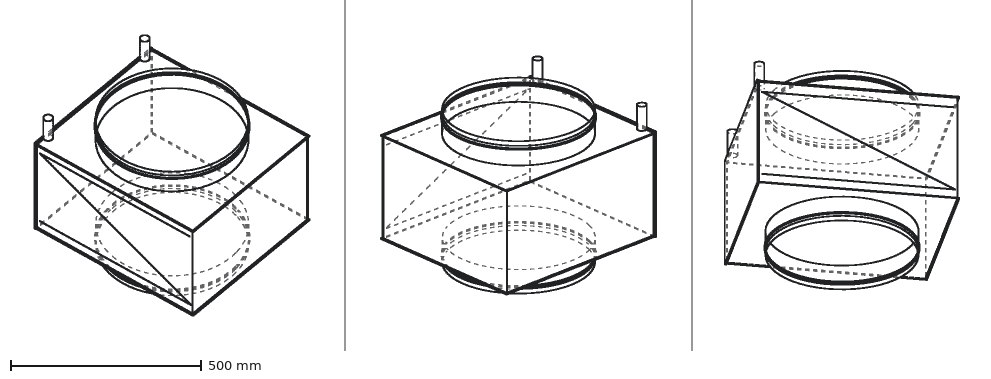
import cadquery as cq
import math

total_length = 540.0
total_width = 483.0
total_height = 440.0
spigot_height = 70.0
box_height = total_height - 2 * spigot_height

sheet = 2.0
cover_thickness = 4.5
cover_lip = 2.0
pipe_proud = 0.1

cover_outer_x = -total_length / 2 + pipe_proud
casing_left_x = cover_outer_x + cover_thickness
plate_right_x = total_length / 2
plate_overhang = 3.0
wall_right_x = plate_right_x - plate_overhang
wall_width = total_width - 2 * plate_overhang
core_recess = 2.0
core_width = wall_width - 2 * core_recess
core_front_y = -core_width / 2
box_top_z = box_height / 2

pipe_radius = 13.5
pipe_wall = 1.0
pipe_spacing = 399.5
pipe_x = -total_length / 2 + pipe_radius
pipe_centres = [(pipe_x, -pipe_spacing / 2), (pipe_x, pipe_spacing / 2)]

spigot_radius = 201.5
spigot_wall = 1.0
bead_rise = 2.5
bead_start = 13.5
bead_crest = 19.5
bead_end = 24.0

groove_width = 1.0
groove_depth = 0.5
groove_left_x = -255.5
groove_top_right_x = 254.5
groove_bottom_right_x = 259.0
groove_top_z = 120.0
groove_bottom_z = -121.5


def block(x_min, x_max, z_min, z_max, width):
    """A block with the given width along Y, centred on the XZ plane."""
    centre = ((x_min + x_max) / 2, 0, (z_min + z_max) / 2)
    return cq.Workplane("XY").box(x_max - x_min, width, z_max - z_min).translate(centre)


def inner_block(width):
    """A block that fits between the casing's walls and plates."""
    inner_top_z = box_top_z - sheet
    return block(casing_left_x + sheet, wall_right_x - sheet, -inner_top_z, inner_top_z, width)


def make_casing():
    """Top and bottom plates joined by two side walls, open at front and back."""
    walls = block(casing_left_x, wall_right_x, -box_top_z, box_top_z, wall_width)
    top_plate = block(casing_left_x, plate_right_x, box_top_z - sheet, box_top_z, total_width)
    bottom_plate = block(casing_left_x, plate_right_x, -box_top_z, -box_top_z + sheet, total_width)
    return walls.union(top_plate).union(bottom_plate).cut(inner_block(wall_width))


def groove_bar(start, end):
    """A straight cutter between two (x, z) points on the front face."""
    run = end[0] - start[0]
    rise = end[1] - start[1]
    bar = cq.Workplane("XY").box(math.hypot(run, rise), 2 * groove_depth, groove_width)
    bar = bar.rotate((0, 0, 0), (0, 1, 0), -math.degrees(math.atan2(rise, run)))
    return bar.translate(((start[0] + end[0]) / 2, core_front_y, (start[1] + end[1]) / 2))


def make_core():
    """Block that fills the casing, with a Z-shaped groove on its front face."""
    top_left = (groove_left_x, groove_top_z)
    top_right = (groove_top_right_x, groove_top_z)
    bottom_left = (groove_left_x, groove_bottom_z)
    bottom_right = (groove_bottom_right_x, groove_bottom_z)
    core = inner_block(core_width)
    for start, end in [(top_left, top_right), (top_left, bottom_right), (bottom_left, bottom_right)]:
        core = core.cut(groove_bar(start, end))
    return core


def make_cover():
    """Side cover, notched where the pipes pass its upper edge."""
    cover_top_z = box_top_z + cover_lip
    cover = block(cover_outer_x, casing_left_x, -cover_top_z, cover_top_z, total_width)
    notches = (
        cq.Workplane("XY", origin=(0, 0, box_top_z))
        .pushPoints(pipe_centres)
        .circle(pipe_radius)
        .extrude(spigot_height)
    )
    return cover.cut(notches)


def make_pipe(centre):
    """Open pipe that stands on the casing's top plate."""
    return (
        cq.Workplane("XY", origin=(centre[0], centre[1], box_top_z))
        .circle(pipe_radius)
        .circle(pipe_radius - pipe_wall)
        .extrude(spigot_height)
    )


def make_spigot(direction):
    """Thin beaded ring on the top (direction 1) or bottom (direction -1) of the casing."""
    rim_z = total_height / 2
    outside = [
        (spigot_radius, box_top_z),
        (spigot_radius, rim_z - bead_end),
        (spigot_radius + bead_rise, rim_z - bead_end),
        (spigot_radius + bead_rise, rim_z - bead_crest),
        (spigot_radius, rim_z - bead_start),
        (spigot_radius, rim_z),
    ]
    inside = [
        (spigot_radius - spigot_wall, rim_z),
        (spigot_radius - spigot_wall, rim_z - bead_start),
        (spigot_radius + bead_rise - spigot_wall, rim_z - bead_crest),
        (spigot_radius + bead_rise - spigot_wall, rim_z - bead_end + spigot_wall),
        (spigot_radius - spigot_wall, rim_z - bead_end + spigot_wall),
        (spigot_radius - spigot_wall, box_top_z),
    ]
    profile = [(radius, direction * z) for radius, z in outside + inside]
    return cq.Workplane("XZ").polyline(profile).close().revolve(360, (0, 0), (0, 1))


casing = make_casing()
core = make_core()
cover = make_cover()
pipes = [make_pipe(centre) for centre in pipe_centres]
spigots = [make_spigot(direction) for direction in (1, -1)]

result = cq.Compound.makeCompound(
    [casing.val(), core.val(), cover.val()]
    + [pipe.val() for pipe in pipes]
    + [spigot.val() for spigot in spigots]
)